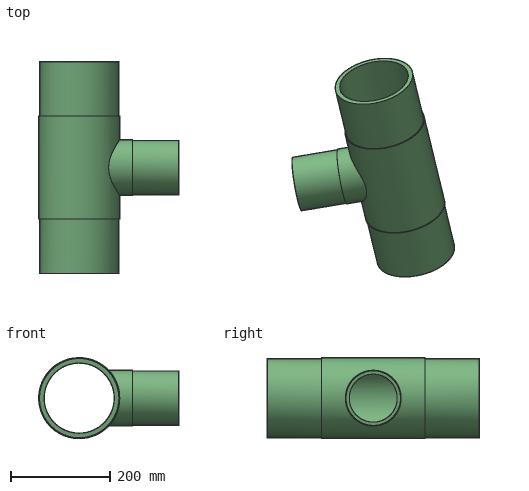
import cadquery as cq

run_length = 428.0
run_diameter = 160.0
run_bore = 141.0

body_length = 208.0
body_diameter = 163.8

branch_reach = 201.0
branch_diameter = 110.0
branch_bore = 96.8

collar_reach = 108.0
collar_diameter = 112.64


def run_cylinder(diameter, length):
    """Cylinder along Y, centred on the origin."""
    return cq.Workplane("XZ").circle(diameter / 2).extrude(length / 2, both=True)


def branch_cylinder(diameter, reach):
    """Cylinder along +X, from the run axis out to the given reach."""
    return cq.Workplane("YZ").circle(diameter / 2).extrude(reach)


run = run_cylinder(run_diameter, run_length).union(run_cylinder(body_diameter, body_length))
branch = branch_cylinder(branch_diameter, branch_reach).union(
    branch_cylinder(collar_diameter, collar_reach)
)
tee = run.union(branch)

tee = tee.cut(run_cylinder(run_bore, run_length))
result = tee.cut(branch_cylinder(branch_bore, branch_reach))